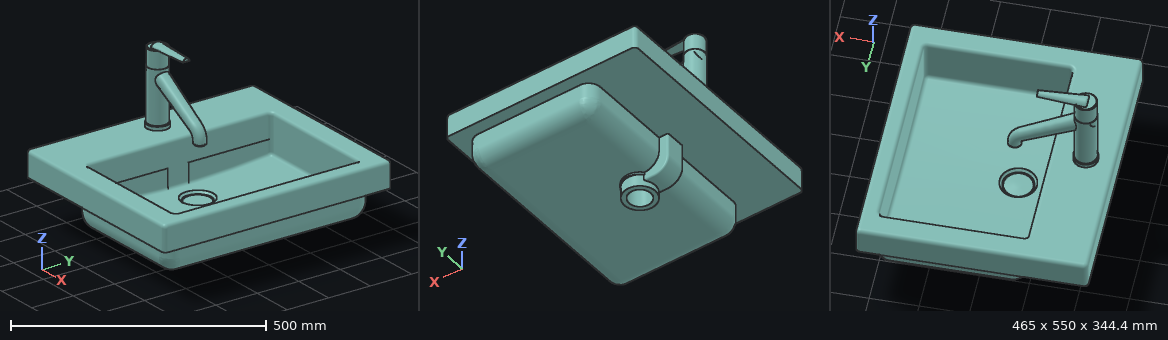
import cadquery as cq
import math

DECK_LENGTH = 465.0
DECK_WIDTH = 550.0
DECK_HEIGHT = 60.0
DECK_EDGE_RADIUS = 9.5

BOWL_BACK_X = 129.0
BOWL_FRONT_X = 435.0
BOWL_WIDTH = 491.0
BOWL_BOTTOM_Z = -131.0
BOWL_CORNER_RADIUS = 28.5
BOWL_BOTTOM_RADIUS = 36.5

CAVITY_BACK_X = 130.5
CAVITY_FRONT_X = 428.0
CAVITY_WIDTH = 446.5
CAVITY_RADIUS = 9.0
FLOOR_LOW_Z = -106.0
FLOOR_RISE = 12.0

DRAIN_X = 195.0
DRAIN_BOTTOM_Z = -165.0
TAILPIECE_DIAMETER = 75.0
BOSS_DIAMETER = 78.0
BOSS_HEIGHT = 5.5
SEAT_TOP_DIAMETER = 75.0
SEAT_DIAMETER = 64.0
SEAT_Z = -118.0
BORE_DIAMETER = 52.0

STOPPER_DIAMETER = 60.0
STOPPER_RIM_HEIGHT = 5.5
STOPPER_CONE_HEIGHT = 4.0

OVERFLOW_BACK_X = 107.0
OVERFLOW_WIDTH = 50.0
OVERFLOW_BOTTOM_Z = -150.5
OVERFLOW_BEND_RADIUS = 37.0
OVERFLOW_EDGE_RADIUS = 4.5

TAP_X = 60.0
RING_DIAMETER = 50.0
RING_HEIGHT = 10.0
RING_CHAMFER = 1.5
COLUMN_DIAMETER = 46.0
COLUMN_TOP_Z = 130.0
HEAD_DIAMETER = 45.0
HEAD_TOP_Z = 170.5
HEAD_CHAMFER = 1.5

LEVER_BACK_X = 55.5
LEVER_TIP_X = 156.0
LEVER_BACK_WIDTH = 32.0
LEVER_BACK_HEIGHT = 9.0
LEVER_TIP_WIDTH = 16.0
LEVER_TIP_HEIGHT = 7.0
LEVER_END_RADIUS = 4.0

SPOUT_START_X = 48.5
SPOUT_START_Z = 123.0
SPOUT_START_DIAMETER = 35.0
SPOUT_END_DIAMETER = 27.5
SPOUT_FALL = 30.0
SPOUT_LENGTH = 160.0
ELBOW_RADIUS = 29.5
COLLAR_HEIGHT = 4.0
AERATOR_DIAMETER = 20.0
AERATOR_HEIGHT = 4.0


def upright_cylinder(x, diameter, bottom_z, top_z):
    """Cylinder with a vertical axis in the Y = 0 plane."""
    return cq.Workplane("XY", origin=(x, 0, bottom_z)).circle(diameter / 2).extrude(top_z - bottom_z)


def block(back_x, front_x, width, bottom_z, top_z):
    """Rectangular block centred on Y = 0."""
    return (
        cq.Workplane("XY", origin=((back_x + front_x) / 2, 0, bottom_z))
        .rect(front_x - back_x, width)
        .extrude(top_z - bottom_z)
    )


def make_deck():
    deck = block(0, DECK_LENGTH, DECK_WIDTH, -DECK_HEIGHT, 0)
    return deck.edges("|Z or >Z").fillet(DECK_EDGE_RADIUS)


def make_bowl_outside():
    bowl = block(BOWL_BACK_X, BOWL_FRONT_X, BOWL_WIDTH, BOWL_BOTTOM_Z, -DECK_HEIGHT)
    bowl = bowl.edges("<Z").fillet(BOWL_BOTTOM_RADIUS)
    return bowl.edges("|Z").fillet(BOWL_CORNER_RADIUS)


def make_overflow():
    """Channel with a quarter bend, rounded along its outer edges."""
    channel = block(OVERFLOW_BACK_X, DRAIN_X, OVERFLOW_WIDTH, OVERFLOW_BOTTOM_Z, -DECK_HEIGHT)
    channel = channel.edges("<X and <Z").fillet(OVERFLOW_BEND_RADIUS)
    return channel.faces("<X").edges("|Z").fillet(OVERFLOW_EDGE_RADIUS)


def make_cavity():
    """Space inside the bowl, closed below by the sagging floor."""
    half_width = CAVITY_WIDTH / 2
    edge_z = FLOOR_LOW_Z + FLOOR_RISE
    cavity = (
        cq.Workplane("YZ", origin=(CAVITY_BACK_X, 0, 0))
        .moveTo(-half_width, edge_z)
        .threePointArc((0, FLOOR_LOW_Z), (half_width, edge_z))
        .lineTo(half_width, 0)
        .lineTo(-half_width, 0)
        .close()
        .extrude(CAVITY_FRONT_X - CAVITY_BACK_X)
    )
    return cavity.edges("not >Z").fillet(CAVITY_RADIUS)


def make_drain_hole():
    """Conical seat that opens at the floor, a straight recess and a through bore."""
    seat_radius = SEAT_DIAMETER / 2
    seat_top_radius = SEAT_TOP_DIAMETER / 2
    seat_edge_z = FLOOR_LOW_Z - (seat_top_radius - seat_radius)
    profile = [
        (0, DRAIN_BOTTOM_Z),
        (BORE_DIAMETER / 2, DRAIN_BOTTOM_Z),
        (BORE_DIAMETER / 2, SEAT_Z),
        (seat_radius, SEAT_Z),
        (seat_radius, seat_edge_z),
        (seat_top_radius, FLOOR_LOW_Z),
        (seat_top_radius, 0),
        (0, 0),
    ]
    half_section = cq.Workplane("XZ", origin=(DRAIN_X, 0, 0)).polyline(profile).close()
    return half_section.revolve(360, (0, 0, 0), (0, 1, 0))


def round_cavity_rim(deck):
    """Round the edge where the cavity opens through the top of the deck."""
    margin = CAVITY_RADIUS / 2
    rim = cq.selectors.BoxSelector(
        (CAVITY_BACK_X - margin, -CAVITY_WIDTH / 2 - margin, -margin),
        (CAVITY_FRONT_X + margin, CAVITY_WIDTH / 2 + margin, margin),
    )
    return deck.edges(rim).fillet(CAVITY_RADIUS)


def make_basin():
    """Deck and bowl in one piece with the overflow channel and the drain tailpiece."""
    tailpiece = upright_cylinder(DRAIN_X, TAILPIECE_DIAMETER, DRAIN_BOTTOM_Z, BOWL_BOTTOM_Z)
    boss = upright_cylinder(DRAIN_X, BOSS_DIAMETER, BOWL_BOTTOM_Z - BOSS_HEIGHT, BOWL_BOTTOM_Z)
    cavity = make_cavity()
    deck = round_cavity_rim(make_deck().cut(cavity))
    underside = make_bowl_outside().union(make_overflow()).union(tailpiece).union(boss).cut(cavity)
    return deck.union(underside).cut(make_drain_hole())


def make_stopper():
    """Disc with a low conical top."""
    radius = STOPPER_DIAMETER / 2
    return (
        cq.Workplane("XZ", origin=(DRAIN_X, 0, SEAT_Z))
        .lineTo(radius, 0)
        .lineTo(radius, STOPPER_RIM_HEIGHT)
        .lineTo(0, STOPPER_RIM_HEIGHT + STOPPER_CONE_HEIGHT)
        .close()
        .revolve(360, (0, 0, 0), (0, 1, 0))
    )


def make_base_ring():
    ring = upright_cylinder(TAP_X, RING_DIAMETER, 0, RING_HEIGHT)
    return ring.faces(">Z").edges().chamfer(RING_CHAMFER)


def make_spout():
    """Spout with elbow and aerator, cut level with the top of the column at its upper end."""
    fall = math.radians(SPOUT_FALL)
    axis = cq.Vector(math.cos(fall), 0, -math.sin(fall))
    start = cq.Vector(SPOUT_START_X, 0, SPOUT_START_Z)
    end = start + axis * SPOUT_LENGTH
    end_radius = SPOUT_END_DIAMETER / 2
    cone = cq.Workplane(cq.Solid.makeCone(SPOUT_START_DIAMETER / 2, end_radius, SPOUT_LENGTH, start, axis))
    elbow_end_x = end.x + ELBOW_RADIUS * (1 - math.sin(fall))
    elbow_end_z = end.z - ELBOW_RADIUS * math.cos(fall)
    bend = cq.Workplane("XZ").moveTo(end.x, end.z).radiusArc((elbow_end_x, elbow_end_z), ELBOW_RADIUS)
    elbow_start = cq.Plane(origin=end.toTuple(), xDir=(0, 1, 0), normal=axis.toTuple())
    elbow = cq.Workplane(elbow_start).circle(end_radius).sweep(bend)
    collar_z = elbow_end_z - COLLAR_HEIGHT
    collar = upright_cylinder(elbow_end_x, SPOUT_END_DIAMETER, collar_z, elbow_end_z)
    aerator = upright_cylinder(elbow_end_x, AERATOR_DIAMETER, collar_z - AERATOR_HEIGHT, collar_z)
    above_column = upright_cylinder(TAP_X, 2 * SPOUT_LENGTH, COLUMN_TOP_Z, HEAD_TOP_Z)
    return cone.union(elbow).union(collar).union(aerator).cut(above_column)


def make_column(spout):
    """Column with a socket in which the upper end of the spout sits."""
    column = upright_cylinder(TAP_X, COLUMN_DIAMETER, RING_HEIGHT, COLUMN_TOP_Z)
    return column.cut(spout)


def make_head():
    head = upright_cylinder(TAP_X, HEAD_DIAMETER, COLUMN_TOP_Z, HEAD_TOP_Z)
    return head.faces(">Z").edges().chamfer(HEAD_CHAMFER)


def make_lever():
    """Loft between two circular segments that share the plane of the head's top."""
    lever = (
        cq.Workplane("YZ", origin=(LEVER_BACK_X, 0, HEAD_TOP_Z))
        .moveTo(-LEVER_BACK_WIDTH / 2, 0)
        .threePointArc((0, LEVER_BACK_HEIGHT), (LEVER_BACK_WIDTH / 2, 0))
        .close()
        .workplane(offset=LEVER_TIP_X - LEVER_BACK_X)
        .moveTo(-LEVER_TIP_WIDTH / 2, 0)
        .threePointArc((0, LEVER_TIP_HEIGHT), (LEVER_TIP_WIDTH / 2, 0))
        .close()
        .loft(ruled=True)
    )
    return lever.faces("<X").edges(">Z").fillet(LEVER_END_RADIUS)


basin = make_basin()
stopper = make_stopper()
base_ring = make_base_ring()
spout = make_spout()
column = make_column(spout)
head = make_head()
lever = make_lever()

bodies = [basin, stopper, base_ring, column, spout, head, lever]
result = cq.Compound.makeCompound([body.solids().val() for body in bodies])